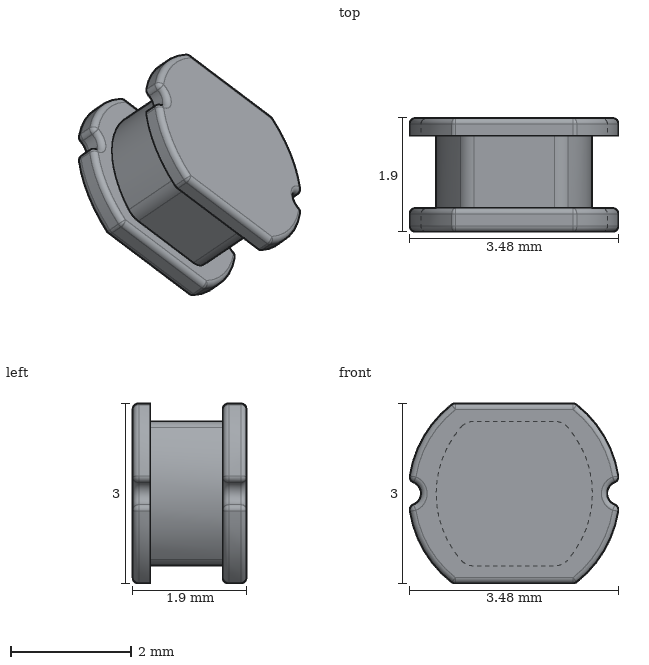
import cadquery as cq
import math

height = 3.0
front_flange_thickness = 0.4
back_flange_thickness = 0.3
core_length = 1.2
total_depth = front_flange_thickness + core_length + back_flange_thickness

flange_side_radius = 1.88
flange_side_reach = 1.76
notch_radius = 0.2
notch_center_x = 1.75
edge_radius = 0.1

core_height = 2.408
core_side_radius = 1.69
core_side_reach = 1.3
core_corner_radius = 0.3

front_y = -total_depth / 2
core_y = front_y + front_flange_thickness
back_flange_y = core_y + core_length


def bowed_prism(outline_height, side_radius, side_reach, start_y, length):
    """Prism along +Y with flat top and bottom and two bowed sides."""
    half_height = outline_height / 2
    side_sagitta = side_radius - math.sqrt(side_radius**2 - half_height**2)
    corner_x = side_reach - side_sagitta
    return (
        cq.Workplane("XZ", origin=(0, start_y, 0))
        .moveTo(-corner_x, half_height)
        .lineTo(corner_x, half_height)
        .threePointArc((side_reach, 0), (corner_x, -half_height))
        .lineTo(-corner_x, -half_height)
        .threePointArc((-side_reach, 0), (-corner_x, half_height))
        .close()
        .extrude(-length)
    )


def notched_flange(start_y, thickness, rounded_faces):
    """Flange with side notches, rounded corners and rounded rims on the chosen faces."""
    flange = bowed_prism(height, flange_side_radius, flange_side_reach, start_y, thickness)
    notches = (
        cq.Workplane("XZ", origin=(0, start_y, 0))
        .pushPoints([(-notch_center_x, 0), (notch_center_x, 0)])
        .circle(notch_radius)
        .extrude(-thickness)
    )
    flange = flange.cut(notches)
    corners = flange.edges("|Y")
    rims = flange.faces(rounded_faces).edges()
    return corners.add(rims).fillet(edge_radius)


front_flange = notched_flange(front_y, front_flange_thickness, "<Y or >Y")
back_flange = notched_flange(back_flange_y, back_flange_thickness, ">Y")

core = bowed_prism(core_height, core_side_radius, core_side_reach, core_y, core_length)
core = core.edges("|Y").fillet(core_corner_radius)

result = front_flange.union(core).union(back_flange)